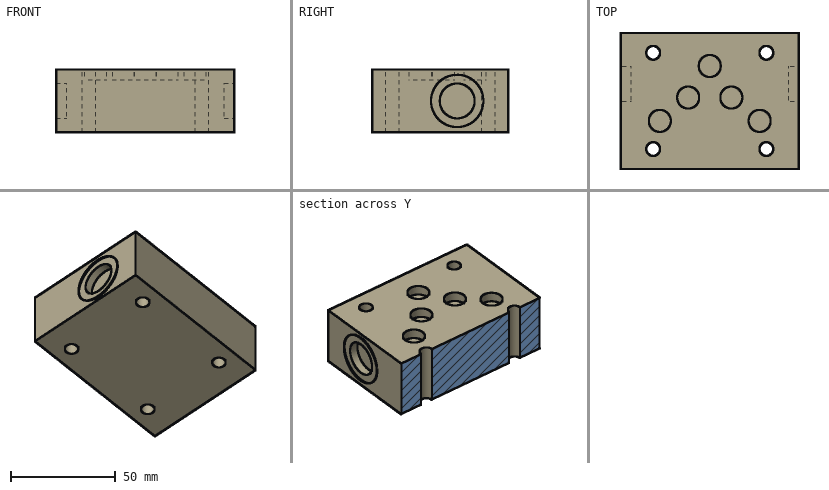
import cadquery as cq

length = 85.0
width = 65.0
height = 30.0

mount_diameter = 6.5
mount_spacing_x = 54.0
mount_spacing_y = 45.9

port_diameter = 10.5
port_depth = 5.0
center_port_y = 16.7
inner_port_x = 10.3
inner_port_y = 1.6
outer_port_x = 23.8
outer_port_y = -9.5

end_port_y = 8.1
end_port_diameter = 16.7
end_port_depth = 5.0
seal_diameter = 25.0
seal_depth = 0.5


def cut_mounting_holes(body):
    return (
        body.faces(">Z").workplane(origin=(0, 0, 0))
        .rect(mount_spacing_x, mount_spacing_y, forConstruction=True)
        .vertices()
        .hole(mount_diameter)
    )


def cut_top_ports(body):
    centers = [(0, center_port_y)]
    for side in (-1, 1):
        centers.append((side * inner_port_x, inner_port_y))
        centers.append((side * outer_port_x, outer_port_y))
    return (
        body.faces(">Z").workplane(origin=(0, 0, 0))
        .pushPoints(centers)
        .hole(port_diameter, port_depth)
    )


def cut_end_port(body, face):
    return (
        body.faces(face).workplane(origin=(0, end_port_y, 0))
        .cboreHole(end_port_diameter, seal_diameter, seal_depth, end_port_depth)
    )


result = cq.Workplane("XY").box(length, width, height)
result = cut_mounting_holes(result)
result = cut_top_ports(result)
for end_face in ("<X", ">X"):
    result = cut_end_port(result, end_face)